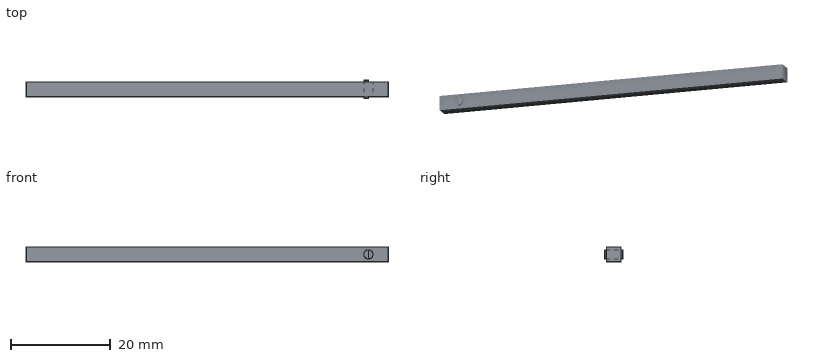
import cadquery as cq

bar_length = 72.5
bar_side = 3.0

pin_diameter = 1.8
pin_end_distance = 4.0
pin_overall_length = 3.7

pin_radius = pin_diameter / 2
pin_x = bar_length / 2 - pin_end_distance


def cylinder_along_y(length):
    """Cylinder of the pin diameter on the pin axis, centred on the bar."""
    return (
        cq.Workplane("XZ", origin=(pin_x, 0, 0))
        .circle(pin_radius)
        .extrude(length / 2, both=True)
    )


def make_bar():
    """Plain square bar with a round through hole for the pin."""
    bar = cq.Workplane("XY").box(bar_length, bar_side, bar_side)
    return bar.cut(cylinder_along_y(bar_side))


def make_pin():
    """Round pin flush with the bar, its -X half standing proud at both ends."""
    flush_core = cylinder_along_y(bar_side)
    minus_x_half = cq.Workplane("XY", origin=(pin_x - pin_radius / 2, 0, 0)).box(
        pin_radius, pin_overall_length, pin_diameter
    )
    proud_half = cylinder_along_y(pin_overall_length).intersect(minus_x_half)
    return flush_core.union(proud_half)


bar = make_bar()
pin = make_pin()

result = cq.Compound.makeCompound([bar.val(), pin.val()])